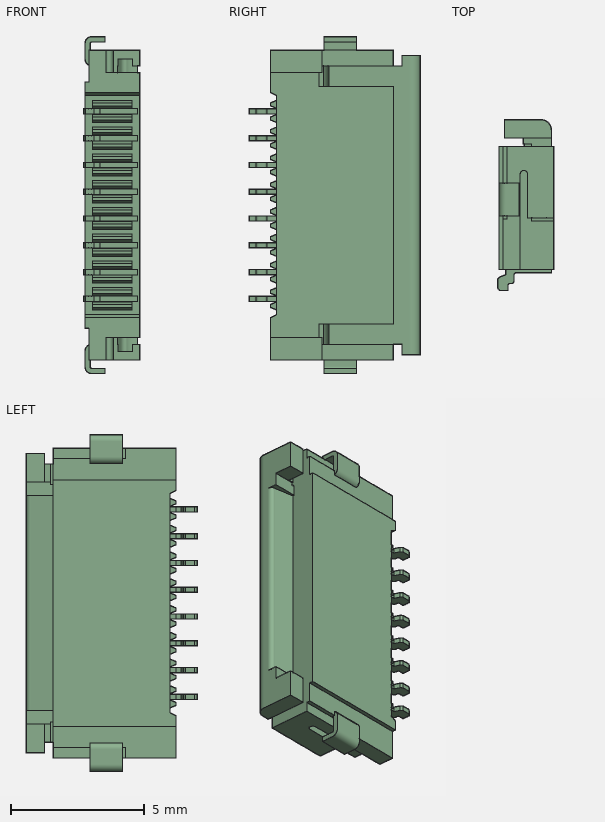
import cadquery as cq


total_height = 2.1
total_length = 6.4
total_width = 12.6

housing_bottom = 0.05
housing_front = 0.8
housing_back = 5.39
housing_half_width = 5.8
end_step_z = 4.61
end_step_x = 0.2
front_recess_depth = 0.23
front_recess_half_width = 4.21
front_recess_slope = 0.11
clip_notch_z = 5.4
clip_notch_x = 0.35
clip_notch_front = 2.68

ledge_z = 4.95
ledge_left = 0.85
ledge_back = 2.72
slot_width = 0.28
slot_end = 4.5

channel_front = 2.61
channel_left = 1.26
channel_floor_z = 4.44
channel_roof_z = 5.2
groove_left = 1.29
groove_right = 1.83
groove_roof_z = 5.47

contact_count = 8
contact_span = 7.0
contact_width = 0.2
contact_root = 1.13
contact_top = 2.02
contact_front = 0.67
contact_back_left = 0.19
stem_left = 0.3
stem_right = 0.62
stem_bottom = 0.6
stem_inner_radius = 0.08
heel_y = 0.26
heel_radius = 0.1
foot_width = 0.39
foot_inner_radius = 0.06
foot_corner_x = 0.08
foot_corner_y = 0.52
foot_side_end = 0.44
foot_chamfer_x = 0.08
foot_chamfer_y = 0.1
rib_left = 0.34
rib_right = 1.8
rib_offset = 0.26
rib_half_tip = 0.057
rib_half_base = 0.15

clip_thickness = 0.2
clip_outer_radius = 0.25
clip_inner_radius = clip_outer_radius - clip_thickness
clip_leg_end = 5.2
clip_tab_end = 0.81
clip_front = 2.8
clip_width = 1.22

actuator_top = 2.02
actuator_radius = 0.4
wing_left = 0.25
wing_front = 5.71
wing_half_width = 5.6
plate_left = 1.0
plate_half_width = 4.52
plate_neck_back = 5.49
lip_half_width = 4.02
lip_left_at_housing = 1.06
lip_left_at_edge = 1.2
lip_edge_y = 6.22
arm_left = 0.96
arm_half_width = channel_roof_z
arm_tip = 2.77
arm_shoulder = 0.21
arm_hollow_radius = 0.53
nose_left = 1.41
nose_right = 1.61
nose_left_drop = 0.05
nose_right_drop = 0.03


def box(x_range, y_range, z_range):
    """Axis-aligned block between the given (low, high) limits."""
    sizes = [high - low for low, high in (x_range, y_range, z_range)]
    corner = (x_range[0], y_range[0], z_range[0])
    return cq.Workplane("XY").box(*sizes, centered=False).translate(corner)


def both_ends(feature):
    """The feature together with its mirror image at the -Z end."""
    return feature.union(feature.mirror("XY"))


def extrude_z(outline, low, high):
    """Closed XY outline extruded from Z = low to Z = high."""
    return outline.extrude(high - low).translate((0, 0, low))


def make_housing():
    body = box(
        (housing_bottom, total_height),
        (housing_front, housing_back),
        (-housing_half_width, housing_half_width),
    )
    recess_back = housing_front + front_recess_depth
    recess_inner = front_recess_half_width - front_recess_slope
    recess = (
        cq.Workplane("YZ")
        .polyline([
            (housing_front, -front_recess_half_width),
            (recess_back, -recess_inner),
            (recess_back, recess_inner),
            (housing_front, front_recess_half_width),
        ])
        .close()
        .extrude(total_height)
    )
    return body.cut(recess).cut(both_ends(make_end_cuts()))


def make_end_cuts():
    """Everything removed from the +Z end of the housing."""
    whole_length = (housing_front, housing_back)
    step = box((0, end_step_x), whole_length, (end_step_z, housing_half_width))
    clip_notch = box(
        (0, clip_notch_x),
        (clip_notch_front, housing_back),
        (clip_notch_z, housing_half_width),
    )
    slot_right = ledge_left + slot_width
    slot_straight_end = slot_end - slot_width / 2
    ledge_outline = (
        cq.Workplane("XY")
        .moveTo(ledge_left, housing_front)
        .lineTo(total_height, housing_front)
        .lineTo(total_height, ledge_back)
        .lineTo(slot_right, ledge_back)
        .lineTo(slot_right, slot_straight_end)
        .threePointArc((ledge_left + slot_width / 2, slot_end), (ledge_left, slot_straight_end))
        .close()
    )
    ledge = extrude_z(ledge_outline, ledge_z, housing_half_width)
    channel_length = (channel_front, housing_back)
    channel = box((channel_left, total_height), channel_length, (channel_floor_z, channel_roof_z))
    groove = box((groove_left, groove_right), channel_length, (channel_roof_z, groove_roof_z))
    return step.union(clip_notch).union(ledge).union(channel).union(groove)


def make_contact(z):
    """Contact blade with its bent solder foot, centred at height z."""
    outline = (
        cq.Workplane("XY")
        .moveTo(0, foot_chamfer_y)
        .lineTo(foot_chamfer_x, 0)
        .lineTo(foot_width, 0)
        .lineTo(foot_width, heel_y - foot_inner_radius)
        .radiusArc((foot_width + foot_inner_radius, heel_y), foot_inner_radius)
        .lineTo(stem_right - heel_radius, heel_y)
        .radiusArc((stem_right, heel_y + heel_radius), -heel_radius)
        .lineTo(stem_right, contact_front - stem_inner_radius)
        .radiusArc((stem_right + stem_inner_radius, contact_front), stem_inner_radius)
        .lineTo(contact_top, contact_front)
        .lineTo(contact_top, contact_root)
        .lineTo(contact_back_left, contact_root)
        .lineTo(contact_back_left, housing_front)
        .lineTo(stem_left, housing_front)
        .lineTo(stem_left, stem_bottom)
        .lineTo(foot_corner_x, foot_corner_y)
        .lineTo(0, foot_side_end)
        .close()
    )
    return extrude_z(outline, z - contact_width / 2, z + contact_width / 2)


def make_rib(z):
    """Tapered rib on the recessed front of the housing, centred at height z."""
    base = housing_front + front_recess_depth
    return (
        cq.Workplane("YZ", origin=(rib_left, 0, z))
        .polyline([
            (base, -rib_half_base),
            (housing_front, -rib_half_tip),
            (housing_front, rib_half_tip),
            (base, rib_half_base),
        ])
        .close()
        .extrude(rib_right - rib_left)
    )


def make_clip():
    """Bent solder clip at the +Z end."""
    top = total_width / 2
    bend_x = housing_bottom + clip_outer_radius
    bend_z = top - clip_outer_radius
    inner_x = housing_bottom + clip_thickness
    outline = (
        cq.Workplane("XZ")
        .moveTo(clip_tab_end, top)
        .lineTo(bend_x, top)
        .radiusArc((housing_bottom, bend_z), -clip_outer_radius)
        .lineTo(housing_bottom, clip_leg_end + clip_outer_radius)
        .radiusArc((bend_x, clip_leg_end), -clip_outer_radius)
        .lineTo(bend_x, clip_leg_end + clip_thickness)
        .radiusArc((inner_x, clip_leg_end + clip_outer_radius), clip_inner_radius)
        .lineTo(inner_x, bend_z)
        .radiusArc((bend_x, top - clip_thickness), clip_inner_radius)
        .lineTo(clip_tab_end, top - clip_thickness)
        .close()
    )
    return outline.extrude(-clip_width).translate((0, clip_front, 0))


def make_actuator_arm():
    """Arm in the channel at the +Z end, with the key that runs in the narrower groove."""
    nose_mid_x = (nose_left + nose_right) / 2
    outline = (
        cq.Workplane("XY")
        .moveTo(channel_left, housing_back)
        .lineTo(channel_left, arm_tip + arm_shoulder)
        .lineTo(nose_left, arm_tip + nose_left_drop)
        .threePointArc((nose_mid_x, arm_tip), (nose_right, arm_tip + nose_right_drop))
        .radiusArc((actuator_top, arm_tip + arm_shoulder), arm_hollow_radius)
        .lineTo(actuator_top, housing_back)
        .close()
    )
    length = (0, housing_back)
    below_key = box((channel_left, actuator_top), length, (channel_floor_z, arm_half_width))
    key = box((groove_left, groove_right), length, (arm_half_width, groove_roof_z))
    arm = extrude_z(outline, channel_floor_z, groove_roof_z).intersect(below_key.union(key))
    root = box(
        (arm_left, actuator_top), (plate_neck_back, wing_front), (plate_half_width, arm_half_width)
    )
    neck = box(
        (channel_left, actuator_top),
        (housing_back, plate_neck_back),
        (channel_floor_z, arm_half_width),
    )
    return arm.union(root).union(neck)


def make_actuator():
    wings = both_ends(
        box(
            (wing_left, actuator_top),
            (wing_front, total_length),
            (plate_half_width, wing_half_width),
        )
    )
    plate = box(
        (plate_left, actuator_top),
        (plate_neck_back, total_length),
        (-plate_half_width, plate_half_width),
    )
    plate_neck = box(
        (plate_left, actuator_top),
        (housing_back, plate_neck_back),
        (-channel_floor_z, channel_floor_z),
    )
    bar = wings.union(plate).union(plate_neck)
    bar = bar.edges("|Z").edges(">Y").edges(">X").fillet(actuator_radius)

    edge_radius = total_length - lip_edge_y
    grip = (
        cq.Workplane("XY")
        .moveTo(plate_left, housing_back)
        .lineTo(lip_left_at_housing, housing_back)
        .lineTo(lip_left_at_edge, lip_edge_y)
        .radiusArc((lip_left_at_edge + edge_radius, total_length), edge_radius)
        .lineTo(plate_left, total_length)
        .close()
    )
    bar = bar.cut(extrude_z(grip, -lip_half_width, lip_half_width))
    return bar.union(both_ends(make_actuator_arm()))


result = make_housing().union(make_actuator()).union(both_ends(make_clip()))

contact_pitch = contact_span / (contact_count - 1)
for index in range(contact_count):
    contact_z = index * contact_pitch - contact_span / 2
    result = result.union(make_contact(contact_z))
    for side in (-1, 1):
        result = result.union(make_rib(contact_z + side * rib_offset))